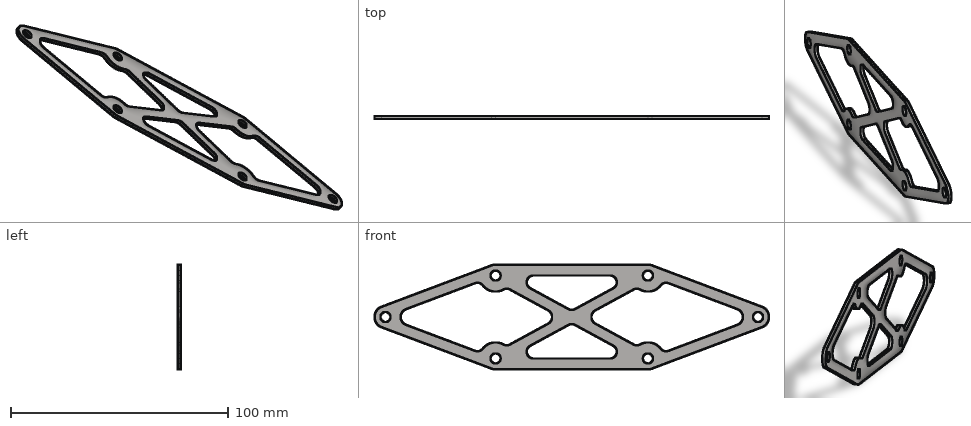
import cadquery as cq
import math

length = 181.6
height = 48.3
thickness = 1.6
hole_diameter = 4.5
rim_width = 5.0
brace_width = 5.0
corner_hole_x = 35.0
boss_radius = 7.5
tip_window_radius = 3.8
window_radius = 3.0
apex_radius = 3.5

tip_hole_x = length / 2 - rim_width
corner_hole_y = height / 2 - rim_width
corner_holes = [(sx * corner_hole_x, sz * corner_hole_y) for sx in (-1, 1) for sz in (-1, 1)]
tip_holes = [(-tip_hole_x, 0), (tip_hole_x, 0)]

brace_angle = math.atan2(corner_hole_y, corner_hole_x)
brace_offset_x = brace_width / 2 / math.sin(brace_angle)
brace_offset_z = brace_width / 2 / math.cos(brace_angle)


def prism(points):
    """Extrude a closed XZ polygon, centred through the plate thickness."""
    return cq.Workplane("XZ").polyline(points).close().extrude(thickness / 2, both=True)


def discs(centers, radius):
    """Round discs through the plate thickness."""
    return cq.Workplane("XZ").pushPoints(centers).circle(radius).extrude(thickness / 2, both=True)


def make_plate():
    """Hexagon through the hole centres, grown outwards by the rim width with round corners."""
    outline = [
        (-tip_hole_x, 0),
        (-corner_hole_x, corner_hole_y),
        (corner_hole_x, corner_hole_y),
        (tip_hole_x, 0),
        (corner_hole_x, -corner_hole_y),
        (-corner_hole_x, -corner_hole_y),
    ]
    profile = cq.Workplane("XZ").polyline(outline).close().offset2D(rim_width, "arc")
    return profile.extrude(thickness / 2, both=True)


def make_left_window():
    """Diamond opening, notched around the corner hole pads."""
    rim_slope = corner_hole_y / (tip_hole_x - corner_hole_x)
    brace_slope = corner_hole_y / corner_hole_x
    peak_x = -(rim_slope * tip_hole_x + brace_slope * brace_offset_x) / (rim_slope + brace_slope)
    peak_z = rim_slope * (peak_x + tip_hole_x)
    diamond = prism([
        (-tip_hole_x, 0),
        (peak_x, peak_z),
        (-brace_offset_x, 0),
        (peak_x, -peak_z),
    ])
    window = diamond.cut(discs(corner_holes, boss_radius))
    window = window.edges("|Y").edges("<X").fillet(tip_window_radius)
    window = window.edges("|Y").edges(">X").fillet(apex_radius)
    pad_box = cq.selectors.BoxSelector(
        (-corner_hole_x - boss_radius, -thickness, -corner_hole_y),
        (-corner_hole_x + boss_radius, thickness, corner_hole_y),
    )
    return window.edges("|Y").edges(pad_box).fillet(window_radius)


def make_upper_window():
    """Triangular opening between the braces and the straight rim."""
    half_width = (corner_hole_y - brace_offset_z) / math.tan(brace_angle)
    triangle = prism([
        (-half_width, corner_hole_y),
        (half_width, corner_hole_y),
        (0, brace_offset_z),
    ])
    return triangle.edges("|Y").fillet(window_radius)


left_window = make_left_window()
upper_window = make_upper_window()

result = make_plate()
result = result.cut(left_window).cut(left_window.mirror("YZ"))
result = result.cut(upper_window).cut(upper_window.mirror("XY"))
result = result.cut(discs(corner_holes + tip_holes, hole_diameter / 2))